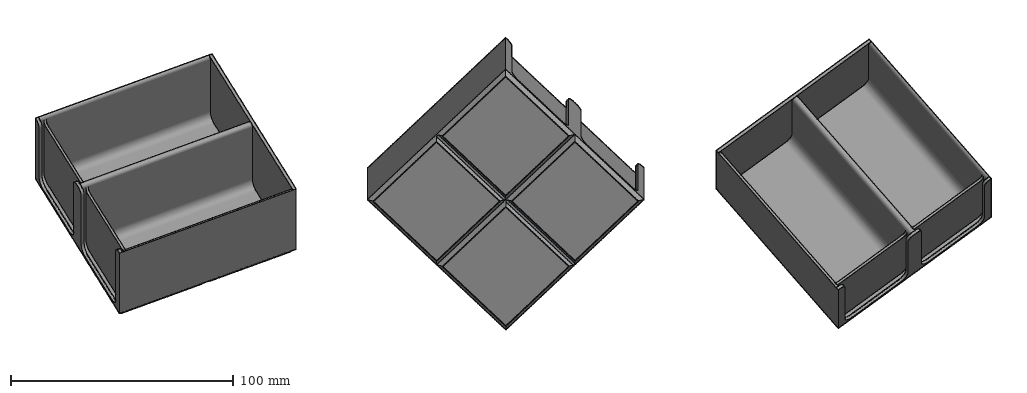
import cadquery as cq

side = 88.0
height = 45.0
half = side / 2

foot_count = 2
foot_pitch = side / foot_count
foot_height = 2.8
foot_inset = 1.9
foot_base_height = foot_height - foot_inset

cell_count = 2
cell_pitch = side / cell_count
wall = 1.6
cell_width = cell_pitch - 2 * wall
floor_z = 3.0
floor_thickness = 0.8
floor_radius = 4.0
rim_radius = wall
back_wall = 1.6

frame_thickness = 1.5
slot_depth = 2.0
panel_thickness = 1.2
panel_drop = 4.0
panel_corner_radius = 2.3
frame_border = 4.0
window_width = cell_pitch - 2 * frame_border
window_sill_z = 4.0
window_sill_radius = floor_radius
frame_top_radius = 3.0

front_y = -half
frame_back_y = front_y + frame_thickness
panel_front_y = frame_back_y + slot_depth
panel_back_y = panel_front_y + panel_thickness
back_wall_y = half - back_wall


def grid_centre(index, count, pitch):
    """Centre coordinate of one item in an evenly spaced centred row."""
    return (index - (count - 1) / 2) * pitch


def taper_to_body(length_x, length_y, inset):
    """Block that widens at 45 degrees from its underside up to the body underside."""
    return (
        cq.Workplane("XY", origin=(0, 0, foot_height - inset))
        .rect(length_x - 2 * inset, length_y - 2 * inset)
        .workplane(offset=inset)
        .rect(length_x, length_y)
        .loft(ruled=True)
    )


def foot(x, y):
    """Foot with a straight base that widens at 45 degrees to the full grid pitch."""
    base_side = foot_pitch - 2 * foot_inset
    base = cq.Workplane("XY").rect(base_side, base_side).extrude(foot_base_height)
    return base.union(taper_to_body(foot_pitch, foot_pitch, foot_inset)).translate((x, y, 0))


def floor_slab(x):
    """Thin slab closing one compartment floor where it crosses the groove between its feet."""
    slab_depth = foot_height - (floor_z - floor_thickness)
    return taper_to_body(cell_pitch, side, slab_depth).translate((x, 0, 0))


def trough(x, y_start, y_end, width, bottom, bottom_radius, flare_radius):
    """Open-topped cutter along Y: rounded bottom corners, mouth flared by a convex rim radius."""
    edge = width / 2
    mouth = edge + flare_radius
    rim_z = height - flare_radius
    bottom_tangent_z = bottom + bottom_radius
    flat = edge - bottom_radius
    profile = (
        cq.Workplane("XZ", origin=(x, y_start, 0))
        .moveTo(-mouth, height)
        .radiusArc((-edge, rim_z), flare_radius)
        .lineTo(-edge, bottom_tangent_z)
        .radiusArc((-flat, bottom), -bottom_radius)
        .lineTo(flat, bottom)
        .radiusArc((edge, bottom_tangent_z), -bottom_radius)
        .lineTo(edge, rim_z)
        .radiusArc((mouth, height), flare_radius)
        .close()
    )
    return profile.extrude(y_start - y_end)


def cell_cut(x):
    """Everything removed for one compartment: window, label slot, panel top and storage space."""
    window = trough(
        x, front_y, frame_back_y, window_width, window_sill_z, window_sill_radius, frame_top_radius
    )
    slot = trough(x, frame_back_y, panel_front_y, cell_width, floor_z, floor_radius, rim_radius)
    panel_top = trough(
        x, panel_front_y, panel_back_y, cell_width, height - panel_drop, panel_corner_radius, rim_radius
    )
    storage = trough(x, panel_back_y, back_wall_y, cell_width, floor_z, floor_radius, rim_radius)
    return window.union(slot).union(panel_top).union(storage)


result = (
    cq.Workplane("XY", origin=(0, 0, foot_height)).rect(side, side).extrude(height - foot_height)
)

for column in range(foot_count):
    for row in range(foot_count):
        foot_x = grid_centre(column, foot_count, foot_pitch)
        foot_y = grid_centre(row, foot_count, foot_pitch)
        result = result.union(foot(foot_x, foot_y))

for cell in range(cell_count):
    cell_x = grid_centre(cell, cell_count, cell_pitch)
    result = result.union(floor_slab(cell_x)).cut(cell_cut(cell_x))